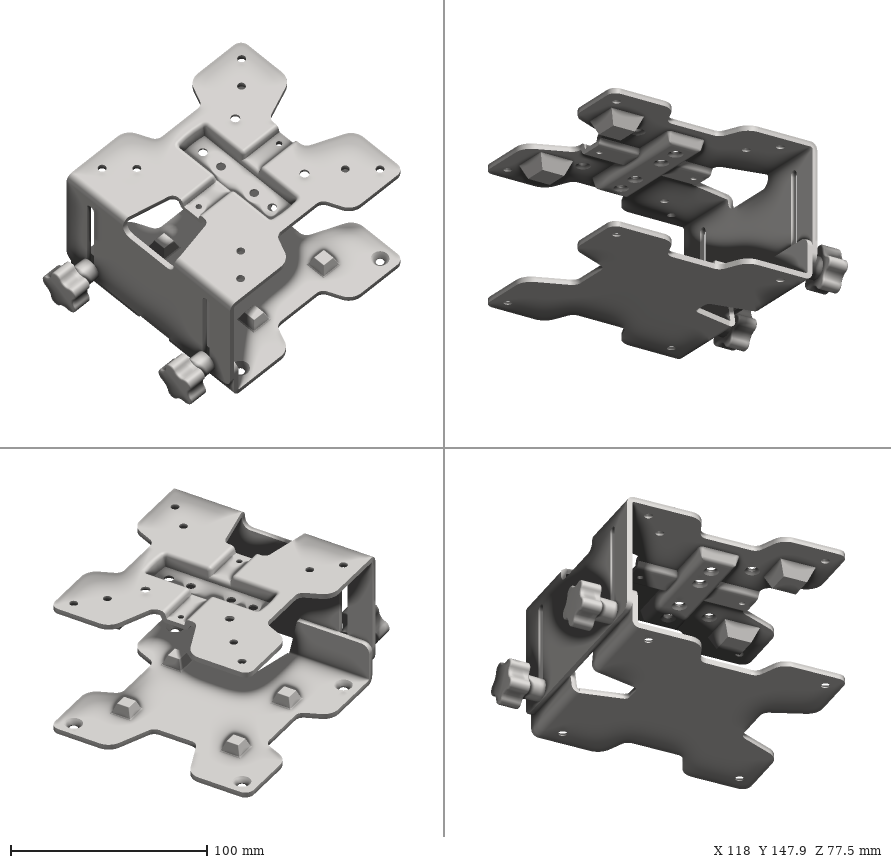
import cadquery as cq
import math

WIDTH = 118.0
HEIGHT = 77.5
SHEET = 3.0
BEND_OUTER = 4.0
BEND_INNER = BEND_OUTER - SHEET
HALF_WIDTH = WIDTH / 2

REAR_Y = 58.5
UPPER_WALL_Y = -66.5
LOWER_WALL_Y = UPPER_WALL_Y + SHEET
UPPER_WALL_BOTTOM = 10.3
LOWER_WALL_TOP = 24.0
WALL_CORNER_R = 5.0

LOBE_CORNER_R = 5.0
LOBE_ROUND_R = 9.0
INNER_ROUND_R = 5.0
REAR_NOTCH_Y = 32.7
REAR_NOTCH_HALF = 12.8
REAR_NOTCH_ANGLE = 22.5
WAIST_Y = -1.3
WAIST_HALF_X = 43.0
WAIST_HALF_Y = 16.0
WAIST_FLANK_ANGLE = 23.5

FLARE = math.tan(math.radians(12))
UPPER_CUT_END_Y = -35.8
UPPER_CUT_END_HALF = 12.6
UPPER_CUT_R = 4.0
UPPER_WALL_CUT_DEPTH = 9.5
LOWER_CUT_END_Y = -34.7
LOWER_CUT_END_HALF = 5.7
LOWER_CUT_R = 3.0

CHANNEL_FLOOR_HALF = 5.2
CHANNEL_DRAFT = 17.0
PRESSED_SHEET = 2.6
CHANNEL_DEPTH = 4.0
RIDGE_TOP_HALF = 9.0
RIDGE_BOTTOM_HALF = 7.0
POCKET_Y = -2.5
POCKET_FLOOR = (64.0, 16.0)
POCKET_DEPTH = 7.0
CROSSING_HALF_Y = 12.0
PRESS_HALF_X = 38.0
POCKET_DRAFT = 15.0
POCKET_BULGE = 0.6
BOSS_BOTTOM = (67.0, 18.6)
BOSS_DRAFT = 18.0
BOSS_EDGE_R = 2.6
RIDGE_EDGE_R = 2.5
PRESS_EDGE_R = 2.5

VESA_100 = 100.0
VESA_75 = 75.0
MOUNT_HOLE_D = 4.5
VESA_75_HOLE_D = 4.5
INNER_HOLE_D = 5.0
INNER_SINK_D = 8.0
CHANNEL_HOLE_D = 3.25
LOWER_SINK_D = 9.5
INNER_HOLE_X = 25.0
INNER_HOLE_Y = 20.7
POCKET_HOLE_X = 12.0
CHANNEL_HOLE_SPACING = 57.6
CHANNEL_Y = (REAR_NOTCH_Y + UPPER_CUT_END_Y) / 2

KNOB_X = 41.8
KNOB_Z = 16.7
SLOT_WIDTH = 5.0
SLOT_TOP = 68.0
STEM_END_D = 12.0
STEM_HEAD_D = 12.6
STEM_LENGTH = 10.8
KNOB_TIP_Y = -89.37
DOME_R = 110.0
LOBE_COUNT = 5
LOBE_CENTRE_R = 9.0
LOBE_R = 3.6
VALLEY_DEPTH_R = 9.1
KNOB_END_R = 0.9
KNOB_BASE_R = 0.9
RIGHT_KNOB_TURN = -5.0

LOWER_PAD_X = 32.5
LOWER_PAD_YS = (27.0, -23.0)
LOWER_PAD_FOOT = 12.4
LOWER_PAD_FOOT_HEIGHT = 0.5
LOWER_PAD_BASE = 11.2
LOWER_PAD_TOP = 7.0
LOWER_PAD_HEIGHT = 5.8
LOWER_PAD_EDGE_R = 0.4
UPPER_PAD_X = 32.5
UPPER_PAD_Y = 38.3
UPPER_PAD_BASE = 19.8
UPPER_PAD_TOP = 13.2
UPPER_PAD_HEIGHT = 7.9


def rounded_outline(plane, corners):
    """Closed wire through (x, y, radius) corners, each rounded by a tangent arc."""
    stretches = []
    for i, (x, y, radius) in enumerate(corners):
        corner = cq.Vector(x, y)
        before = (cq.Vector(*corners[i - 1][:2]) - corner).normalized()
        after = (cq.Vector(*corners[(i + 1) % len(corners)][:2]) - corner).normalized()
        half_angle = before.getAngle(after) / 2
        tangent = radius / math.tan(half_angle)
        to_arc = radius / math.sin(half_angle) - radius
        middle = corner + (before + after).normalized() * to_arc
        stretches.append((corner + before * tangent, middle, corner + after * tangent, radius))
    path = plane.moveTo(*stretches[0][2].toTuple()[:2])
    for start, middle, end, radius in stretches[1:] + stretches[:1]:
        path = path.lineTo(start.x, start.y)
        if radius > 0:
            path = path.threePointArc((middle.x, middle.y), (end.x, end.y))
    return path.close()


def mirrored(half):
    """Full outline symmetric about x = 0 from the corners of its +X half."""
    return half + [(-x, y, radius) for x, y, radius in reversed(half)]


def frustum(base, top, height):
    """Square frustum standing on z = 0."""
    return cq.Workplane("XY").rect(base, base).workplane(offset=height).rect(top, top).loft()


def mirrored_x(x, y):
    """The point and its mirror image across x = 0."""
    return [(x, y), (-x, y)]


def plate_outline(front_y):
    """Prism of the four-lobed plate seen from above, as tall as the whole assembly."""
    notch_run = (REAR_Y - REAR_NOTCH_Y) * math.tan(math.radians(REAR_NOTCH_ANGLE))
    flank_rise = (HALF_WIDTH - WAIST_HALF_X) * math.tan(math.radians(WAIST_FLANK_ANGLE))
    half = [
        (REAR_NOTCH_HALF, REAR_NOTCH_Y, INNER_ROUND_R),
        (REAR_NOTCH_HALF + notch_run, REAR_Y, LOBE_ROUND_R),
        (HALF_WIDTH, REAR_Y, LOBE_CORNER_R),
        (HALF_WIDTH, WAIST_Y + WAIST_HALF_Y + flank_rise, LOBE_ROUND_R),
        (WAIST_HALF_X, WAIST_Y + WAIST_HALF_Y, INNER_ROUND_R),
        (WAIST_HALF_X, WAIST_Y - WAIST_HALF_Y, INNER_ROUND_R),
        (HALF_WIDTH, WAIST_Y - WAIST_HALF_Y - flank_rise, LOBE_ROUND_R),
        (HALF_WIDTH, front_y, 0),
    ]
    return rounded_outline(cq.Workplane("XY"), mirrored(half)).extrude(HEIGHT)


def bent_sheet(wall_y, plate_z, wall_end_z):
    """L-shaped sheet whose plate's outer face is at plate_z and whose wall ends at wall_end_z."""
    up = 1 if wall_end_z > plate_z else -1
    inner_y = wall_y + SHEET
    inner_z = plate_z + up * SHEET
    corners = [
        (REAR_Y, plate_z, 0),
        (wall_y, plate_z, BEND_OUTER),
        (wall_y, wall_end_z, 0),
        (inner_y, wall_end_z, 0),
        (inner_y, inner_z, BEND_INNER),
        (REAR_Y, inner_z, 0),
    ]
    return rounded_outline(cq.Workplane("YZ"), corners).extrude(HALF_WIDTH, both=True)


def wall_cutter(corners, wall_y):
    """Cutter through a wall, reaching from its outer face to the inner start of the bend."""
    plane = cq.Workplane("XZ", origin=(0, wall_y, 0))
    return rounded_outline(plane, mirrored(corners)).extrude(-BEND_OUTER)


def trapezoid_bar(top_half, bottom_half, top_z, depth):
    """Bar along the channel, tapering downwards from top_z."""
    return (
        cq.Workplane("XZ", origin=(0, REAR_NOTCH_Y, top_z))
        .moveTo(-top_half, 0)
        .lineTo(-bottom_half, -depth)
        .lineTo(bottom_half, -depth)
        .lineTo(top_half, 0)
        .close()
        .extrude(REAR_NOTCH_Y - UPPER_CUT_END_Y)
    )


def pressed_solid():
    """Material under the upper plate around the channel and the pocket."""
    underside = HEIGHT - SHEET
    ridge_depth = CHANNEL_DEPTH + PRESSED_SHEET - SHEET
    boss_depth = POCKET_DEPTH + PRESSED_SHEET - SHEET
    ridge = trapezoid_bar(RIDGE_TOP_HALF, RIDGE_BOTTOM_HALF, underside, ridge_depth)
    ridge = ridge.edges("|Y and <Z").fillet(RIDGE_EDGE_R)
    boss = (
        cq.Workplane("XY", origin=(0, POCKET_Y, underside - boss_depth))
        .rect(*BOSS_BOTTOM)
        .extrude(boss_depth, taper=-BOSS_DRAFT)
        .faces("<Z").edges().fillet(BOSS_EDGE_R)
    )
    return ridge.union(boss)


def pressed_hollow():
    """Space of the channel and the pocket, open at the top of the upper plate."""
    channel_top_half = CHANNEL_FLOOR_HALF + CHANNEL_DEPTH * math.tan(math.radians(CHANNEL_DRAFT))
    channel = trapezoid_bar(channel_top_half, CHANNEL_FLOOR_HALF, HEIGHT, CHANNEL_DEPTH)
    half_x = POCKET_FLOOR[0] / 2
    half_y = POCKET_FLOOR[1] / 2
    pocket = (
        cq.Workplane("XY", origin=(0, POCKET_Y, HEIGHT - POCKET_DEPTH))
        .moveTo(-half_x, -half_y)
        .lineTo(half_x, -half_y)
        .threePointArc((half_x + POCKET_BULGE, 0), (half_x, half_y))
        .lineTo(-half_x, half_y)
        .threePointArc((-half_x - POCKET_BULGE, 0), (-half_x, -half_y))
        .close()
        .extrude(POCKET_DEPTH, taper=-POCKET_DRAFT)
    )
    return channel.union(pocket)


def upper_cutout():
    """Flared opening in the upper plate that runs through the bend into the wall."""
    bend_y = UPPER_WALL_Y + BEND_OUTER
    bend_half = UPPER_CUT_END_HALF + FLARE * (UPPER_CUT_END_Y - bend_y)
    flared = [(UPPER_CUT_END_HALF, UPPER_CUT_END_Y, UPPER_CUT_R), (bend_half, bend_y, 0)]
    plate_part = rounded_outline(cq.Workplane("XY"), mirrored(flared)).extrude(SHEET)
    wall_part = [
        (bend_half, HEIGHT, 0),
        (bend_half, HEIGHT - UPPER_WALL_CUT_DEPTH, WALL_CORNER_R),
    ]
    return plate_part.translate((0, 0, HEIGHT - SHEET)).union(wall_cutter(wall_part, UPPER_WALL_Y))


def sunk_holes(points, underside):
    """Cutters for holes countersunk at 90 degrees from below."""
    sink_depth = (INNER_SINK_D - INNER_HOLE_D) / 2
    hole_profile = [
        (0, 0),
        (INNER_SINK_D / 2, 0),
        (INNER_HOLE_D / 2, sink_depth),
        (INNER_HOLE_D / 2, SHEET),
        (0, SHEET),
    ]
    cutter = cq.Workplane("XZ").polyline(hole_profile).close().revolve(360, (0, 0), (0, 1)).val()
    return cq.Workplane("XY", origin=(0, 0, underside)).pushPoints(points).eachpoint(cutter)


def upper_holes():
    """Screw holes of the upper plate, and of its channel and pocket."""
    vesa_100 = cq.Workplane("XY").rect(VESA_100, VESA_100, forConstruction=True).vertices()
    vesa_75 = cq.Workplane("XY").rect(VESA_75, VESA_75, forConstruction=True).vertices()
    plate_points = mirrored_x(INNER_HOLE_X, INNER_HOLE_Y)
    pocket_points = mirrored_x(INNER_HOLE_X, POCKET_Y) + mirrored_x(POCKET_HOLE_X, POCKET_Y)
    channel = cq.Workplane("XY", origin=(0, CHANNEL_Y, 0)).rarray(1, CHANNEL_HOLE_SPACING, 1, 2)
    return (
        vesa_100.circle(MOUNT_HOLE_D / 2).extrude(HEIGHT)
        .union(vesa_75.circle(VESA_75_HOLE_D / 2).extrude(HEIGHT))
        .union(channel.circle(CHANNEL_HOLE_D / 2).extrude(HEIGHT))
        .union(sunk_holes(plate_points, HEIGHT - SHEET))
        .union(sunk_holes(pocket_points, HEIGHT - POCKET_DEPTH - PRESSED_SHEET))
    )


def knob_slots():
    """Adjustment slots in the upper wall, ending at the knob axis."""
    slot_bottom = KNOB_Z - SLOT_WIDTH / 2
    return (
        cq.Workplane("XZ", origin=(0, UPPER_WALL_Y, (SLOT_TOP + slot_bottom) / 2))
        .pushPoints(mirrored_x(KNOB_X, 0))
        .slot2D(SLOT_TOP - slot_bottom, SLOT_WIDTH, 90)
        .extrude(-SHEET)
    )


def make_upper_bracket():
    bracket = bent_sheet(UPPER_WALL_Y, HEIGHT, UPPER_WALL_BOTTOM).intersect(plate_outline(UPPER_WALL_Y))
    bracket = bracket.edges("|Y and <Z").fillet(WALL_CORNER_R)
    bracket = bracket.union(pressed_solid()).cut(pressed_hollow())
    press_zone = cq.selectors.BoxSelector(
        (-PRESS_HALF_X, UPPER_CUT_END_Y + 1, HEIGHT - 0.1),
        (PRESS_HALF_X, REAR_NOTCH_Y - 1, HEIGHT + 0.1),
    )
    crossing_zone = cq.selectors.BoxSelector(
        (-RIDGE_TOP_HALF, POCKET_Y - CROSSING_HALF_Y, HEIGHT - CHANNEL_DEPTH - 0.1),
        (RIDGE_TOP_HALF, POCKET_Y + CROSSING_HALF_Y, HEIGHT + 0.1),
    )
    bracket = bracket.edges(press_zone + crossing_zone).fillet(PRESS_EDGE_R)
    return bracket.cut(upper_cutout()).cut(upper_holes()).cut(knob_slots())


def lower_cutout():
    """Flared opening in the lower plate that keeps flaring up the wall to its free edge."""
    bend_y = LOWER_WALL_Y + BEND_OUTER
    bend_half = LOWER_CUT_END_HALF + FLARE * (LOWER_CUT_END_Y - bend_y)
    flared = [(LOWER_CUT_END_HALF, LOWER_CUT_END_Y, LOWER_CUT_R), (bend_half, bend_y, 0)]
    plate_part = rounded_outline(cq.Workplane("XY"), mirrored(flared)).extrude(SHEET)
    wall_part = [(bend_half, 0, 0), (bend_half + FLARE * LOWER_WALL_TOP, LOWER_WALL_TOP, 0)]
    return plate_part.union(wall_cutter(wall_part, LOWER_WALL_Y))


def make_lower_bracket():
    bracket = bent_sheet(LOWER_WALL_Y, 0, LOWER_WALL_TOP).intersect(plate_outline(LOWER_WALL_Y))
    bracket = bracket.edges("|Y and >Z").fillet(WALL_CORNER_R)
    bracket = bracket.cut(lower_cutout())
    return (
        bracket.copyWorkplane(cq.Workplane("XY", origin=(0, 0, SHEET)))
        .rect(VESA_100, VESA_100, forConstruction=True)
        .vertices()
        .cskHole(MOUNT_HOLE_D, LOWER_SINK_D, 90)
    )


def polar(radius, angle):
    """Cartesian coordinates of a polar point, with the angle in radians."""
    return radius * math.cos(angle), radius * math.sin(angle)


def knob_star():
    """Wavy five-lobed outline of tangent arcs around the origin, one tip pointing to -X."""
    half_pitch = math.pi / LOBE_COUNT
    reach = LOBE_CENTRE_R * math.cos(half_pitch)
    valley_r = (VALLEY_DEPTH_R**2 + LOBE_CENTRE_R**2 - 2 * VALLEY_DEPTH_R * reach - LOBE_R**2) / (
        2 * (LOBE_R + reach - VALLEY_DEPTH_R)
    )
    valley_centre_r = VALLEY_DEPTH_R + valley_r
    share = LOBE_R / (LOBE_R + valley_r)

    def join(lobe_angle, valley_angle):
        lobe = cq.Vector(*polar(LOBE_CENTRE_R, lobe_angle))
        valley = cq.Vector(*polar(valley_centre_r, valley_angle))
        point = lobe + (valley - lobe) * share
        return point.x, point.y

    tips = [math.pi + 2 * half_pitch * i for i in range(LOBE_COUNT)]
    star = cq.Workplane("XZ").moveTo(*join(tips[0], tips[0] - half_pitch))
    for tip in tips:
        valley = tip + half_pitch
        star = star.threePointArc(polar(LOBE_CENTRE_R + LOBE_R, tip), join(tip, valley))
        star = star.threePointArc(polar(VALLEY_DEPTH_R, valley), join(tip + 2 * half_pitch, valley))
    return star.close()


def make_knob(x, turn):
    """Knob bearing on the upper wall: tapered stem and star head with a slightly domed end."""
    head_length = UPPER_WALL_Y - STEM_LENGTH - KNOB_TIP_Y
    dome = cq.Workplane("XY").sphere(DOME_R).translate((0, DOME_R - head_length, 0))
    head = knob_star().extrude(head_length).intersect(dome)
    head = head.faces("<Y").edges().fillet(KNOB_END_R).faces(">Y").edges().fillet(KNOB_BASE_R)
    stem = (
        cq.Workplane("XZ").circle(STEM_HEAD_D / 2)
        .workplane(offset=-STEM_LENGTH).circle(STEM_END_D / 2)
        .loft()
    )
    knob = head.rotate((0, 0, 0), (0, 1, 0), turn).union(stem)
    return knob.translate((x, UPPER_WALL_Y - STEM_LENGTH, KNOB_Z))


def make_lower_pad(x, y):
    """Pyramid-shaped pad on a thin flared foot, standing on the lower plate."""
    foot = frustum(LOWER_PAD_FOOT, LOWER_PAD_BASE, LOWER_PAD_FOOT_HEIGHT)
    body = frustum(LOWER_PAD_BASE, LOWER_PAD_TOP, LOWER_PAD_HEIGHT - LOWER_PAD_FOOT_HEIGHT)
    body = body.edges("not <Z").fillet(LOWER_PAD_EDGE_R)
    pad = foot.union(body.translate((0, 0, LOWER_PAD_FOOT_HEIGHT)))
    return pad.translate((x, y, SHEET))


def make_upper_pad(x):
    """Pad hanging under the upper plate."""
    pad = frustum(UPPER_PAD_BASE, UPPER_PAD_TOP, UPPER_PAD_HEIGHT).mirror("XY")
    return pad.translate((x, UPPER_PAD_Y, HEIGHT - SHEET))


upper_bracket = make_upper_bracket()
lower_bracket = make_lower_bracket()
knobs = [make_knob(-KNOB_X, 0), make_knob(KNOB_X, RIGHT_KNOB_TURN)]
lower_pads = [make_lower_pad(side * LOWER_PAD_X, y) for side in (-1, 1) for y in LOWER_PAD_YS]
upper_pads = [make_upper_pad(side * UPPER_PAD_X) for side in (-1, 1)]

bodies = [upper_bracket, lower_bracket] + knobs + lower_pads + upper_pads
result = cq.Compound.makeCompound([body.val() for body in bodies])